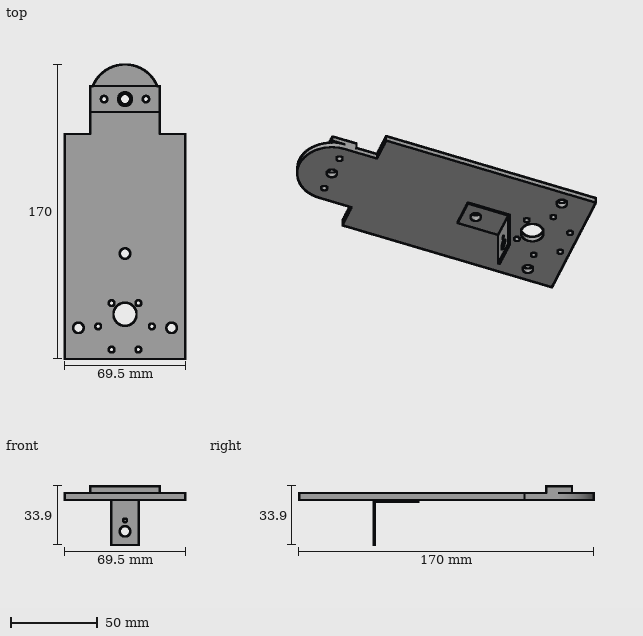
import cadquery as cq
import math

overall_length = 170
plate_width = 69.5
plate_thickness = 4.0
body_length = 129.9
tongue_width = 40.1
tongue_radius = tongue_width / 2
pivot_y = overall_length - tongue_radius

block_length = 15.0
block_thickness = 3.9
pivot_bore = 6.0
pivot_counterbore = 8.0
block_hole_diameter = 3.5
block_hole_offset = 12.0

shaft_hole_diameter = 13.3
shaft_hole_y = 25.8
motor_center_y = 18.9
motor_bolt_radius = 15.5
motor_bolt_count = 6
motor_bolt_diameter = 3.2

side_hole_diameter = 6.0
side_hole_offset = 26.9
side_hole_y = 18.0

bracket_width = 16.0
bracket_leg = 26.0
bracket_thickness = 1.0
bracket_front_y = 42.8
bracket_hole_diameter = 6.0
bracket_hole_distance = 18.0
pilot_hole_diameter = 2.0
pilot_hole_distance = 11.7


def box_at(width, length, height, front_y, bottom_z):
    """Box centred on X, placed by its front face and underside."""
    box = cq.Workplane("XY").box(width, length, height, centered=(True, False, False))
    return box.translate((0, front_y, bottom_z))


def drill_vertical(body, points, diameter, bottom_z=-bracket_leg):
    """Cut holes from bottom_z up through everything above it."""
    depth = plate_thickness + block_thickness - bottom_z
    cutter = cq.Workplane("XY").workplane(offset=bottom_z).pushPoints(points)
    return body.cut(cutter.circle(diameter / 2).extrude(depth))


def make_plate():
    half_width = plate_width / 2
    return (
        cq.Workplane("XY")
        .moveTo(-half_width, 0)
        .lineTo(half_width, 0)
        .lineTo(half_width, body_length)
        .lineTo(tongue_radius, body_length)
        .lineTo(tongue_radius, pivot_y)
        .threePointArc((0, overall_length), (-tongue_radius, pivot_y))
        .lineTo(-tongue_radius, body_length)
        .lineTo(-half_width, body_length)
        .close()
        .extrude(plate_thickness)
    )


def make_bracket():
    flange = box_at(bracket_width, bracket_leg, bracket_thickness, bracket_front_y, -bracket_thickness)
    upright = box_at(bracket_width, bracket_thickness, bracket_leg, bracket_front_y, -bracket_leg)
    bracket = flange.union(upright)
    upright_holes = (
        (bracket_hole_distance, bracket_hole_diameter),
        (pilot_hole_distance, pilot_hole_diameter),
    )
    for distance, diameter in upright_holes:
        cutter = cq.Workplane("XZ", origin=(0, bracket_front_y, -distance))
        bracket = bracket.cut(cutter.circle(diameter / 2).extrude(-bracket_thickness))
    return bracket


block = box_at(tongue_width, block_length, block_thickness, pivot_y - block_length / 2, plate_thickness)
result = make_plate().union(block).union(make_bracket())

result = drill_vertical(result, [(0, pivot_y)], pivot_bore)
result = drill_vertical(result, [(0, pivot_y)], pivot_counterbore, plate_thickness)
block_holes = [(side * block_hole_offset, pivot_y) for side in (-1, 1)]
result = drill_vertical(result, block_holes, block_hole_diameter)

result = drill_vertical(result, [(0, shaft_hole_y)], shaft_hole_diameter)
bolt_angles = [2 * math.pi * i / motor_bolt_count for i in range(motor_bolt_count)]
motor_bolts = [
    (motor_bolt_radius * math.cos(angle), motor_center_y + motor_bolt_radius * math.sin(angle))
    for angle in bolt_angles
]
result = drill_vertical(result, motor_bolts, motor_bolt_diameter)

side_holes = [(side * side_hole_offset, side_hole_y) for side in (-1, 1)]
result = drill_vertical(result, side_holes, side_hole_diameter)

flange_hole = (0, bracket_front_y + bracket_hole_distance)
result = drill_vertical(result, [flange_hole], bracket_hole_diameter)